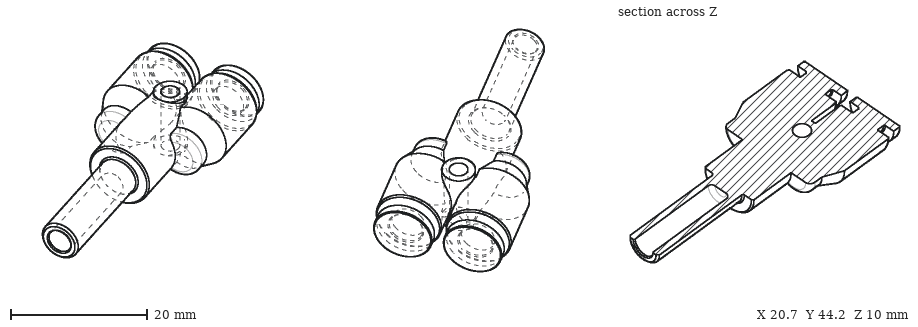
import cadquery as cq

total_length = 44.2
barrel_radius = 5.0

stem_radius = 3.0
stem_length = 18.0
stem_tip_chamfer = 0.35
stem_root_flare = 0.25
body_front_chamfer = 0.25
body_length = 15.55
body_back_y = stem_length + body_length

bore_mouth_radius = 2.0
bore_radius = 1.85
bore_mouth_depth = 0.25
bore_bottom_fillet = 0.7
bore_depth = 16.35

boss_radius = 2.48
boss_hole_radius = 1.35

branch_offset = 5.35
nose_radius = 3.55
nose_length = 2.48
nose_fillet = 0.97
nose_cone_length = 3.25
branch_barrel_length = 9.55
branch_chamfer_width = 0.18
branch_chamfer_length = 0.35
neck_radius = 2.55
neck_flare = 0.18
neck_length = 1.35
button_radius = 4.45
button_thickness = 1.45
button_chamfer = 0.15


def revolve_about_y(outline):
    """Spin a closed half-outline, drawn in the XY plane, about the Y axis."""
    return outline.close().revolve(360, (0, 0, 0), (0, 1, 0))


def make_stem_and_body():
    outline = (
        cq.Workplane("XY")
        .lineTo(stem_radius - stem_tip_chamfer, 0)
        .lineTo(stem_radius, stem_tip_chamfer)
        .lineTo(stem_radius, stem_length - stem_root_flare)
        .lineTo(stem_radius + stem_root_flare, stem_length)
        .lineTo(barrel_radius - body_front_chamfer, stem_length)
        .lineTo(barrel_radius, stem_length + body_front_chamfer)
        .lineTo(barrel_radius, body_back_y)
        .lineTo(0, body_back_y)
    )
    return revolve_about_y(outline)


def make_bore():
    outline = (
        cq.Workplane("XY")
        .lineTo(bore_mouth_radius, 0)
        .lineTo(bore_radius, bore_mouth_depth)
        .lineTo(bore_radius, bore_depth - bore_bottom_fillet)
        .radiusArc((bore_radius - bore_bottom_fillet, bore_depth), -bore_bottom_fillet)
        .lineTo(0, bore_depth)
    )
    return revolve_about_y(outline)


def make_branch(axis_x):
    button_front_y = total_length - button_thickness
    barrel_back_y = button_front_y - neck_length
    cone_back_y = barrel_back_y - branch_barrel_length
    cone_front_y = cone_back_y - nose_cone_length
    nose_front_y = cone_front_y - nose_length

    outline = (
        cq.Workplane("XY")
        .moveTo(0, nose_front_y)
        .lineTo(nose_radius - nose_fillet, nose_front_y)
        .radiusArc((nose_radius, nose_front_y + nose_fillet), -nose_fillet)
        .lineTo(nose_radius, cone_front_y)
        .lineTo(barrel_radius, cone_back_y)
        .lineTo(barrel_radius, barrel_back_y - branch_chamfer_length)
        .lineTo(barrel_radius - branch_chamfer_width, barrel_back_y)
        .lineTo(neck_radius, barrel_back_y)
        .lineTo(neck_radius, button_front_y - neck_flare)
        .lineTo(neck_radius + neck_flare, button_front_y)
        .lineTo(button_radius, button_front_y)
        .lineTo(button_radius, total_length - button_chamfer)
        .lineTo(button_radius - button_chamfer, total_length)
        .lineTo(0, total_length)
    )
    return revolve_about_y(outline).translate((axis_x, 0, 0))


def make_cross_cylinder(radius):
    """Vertical cylinder through the full thickness at the back end of the body."""
    return cq.Workplane("XY").center(0, body_back_y).circle(radius).extrude(barrel_radius, both=True)


result = make_stem_and_body()
for side in (-1, 1):
    result = result.union(make_branch(side * branch_offset))
result = result.union(make_cross_cylinder(boss_radius))
result = result.cut(make_cross_cylinder(boss_hole_radius))
result = result.cut(make_bore())